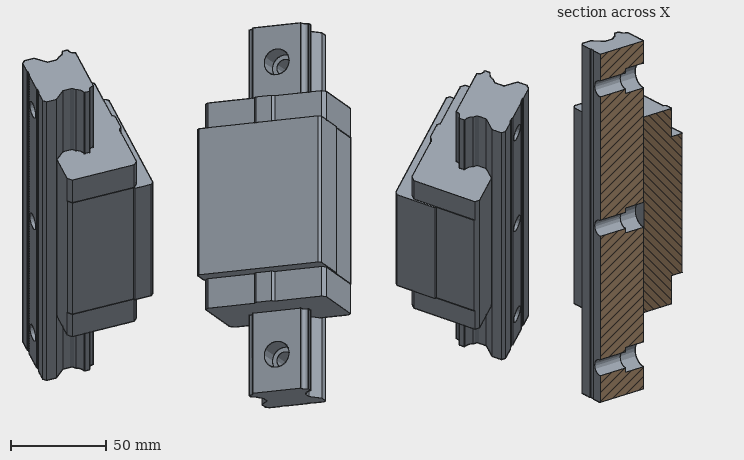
import cadquery as cq

RAIL_LENGTH = 200.0
RAIL_WIDTH = 34.0
RAIL_HEIGHT = 29.0
RAIL_FOOT_CHAMFER = 1.5
FOOT_TOP = 7.0
WAIST_HALF_WIDTH = 11.8
WAIST_BOTTOM = 12.5
WAIST_TOP = 17.2
WAIST_CURVE_WIDTH = 0.5
WAIST_CURVE_HEIGHT = 1.0
WAIST_FLARE = 1.2
LIP_BOTTOM = 23.0
LIP_TOP = 25.5
LIP_CHAMFER = 0.5
LOWER_RACE_MIDDLE = (14.5, 21.5)
UPPER_RACE_MIDDLE = (14.8, 26.5)
UPPER_RACE_TOP = (13.8, 28.5)
HEAD_TOP_HALF_WIDTH = 13.5

GROOVE_OFFSET = 7.2
GROOVE_MOUTH = 3.0
GROOVE_FLOOR = 2.0
GROOVE_DEPTH = 0.5

HOLE_PITCH = 80.0
HOLE_COUNT = 3
HOLE_DIAMETER = 9.0
COUNTERBORE_DIAMETER = 14.0
COUNTERBORE_DEPTH = 12.0

CARRIAGE_TOP = 55.0
CARRIAGE_BOTTOM = 7.5
BODY_WIDTH = 70.0
BODY_LENGTH = 80.0
BODY_TOP_CHAMFER = 1.5
BOTTOM_CHAMFER = 2.2
SIDE_STEP = 0.5
LEFT_STEP_HEIGHT = 32.0
RIGHT_STEP_HEIGHT = 44.5

CAP_WIDTH = 68.2
CAP_TOP = 46.5
CAP_TOP_CHAMFER = 2.0
CARRIAGE_LENGTH = 112.5
BUMP_HEIGHT = 1.5
BUMP_BASE_WIDTH = 11.5


def centred_prism(closed_outline, length):
    """Extrude a closed XY outline along Z, half the length to each side of Z = 0."""
    return closed_outline.extrude(length / 2, both=True)


def rail_blank():
    half = RAIL_WIDTH / 2
    outline = (
        cq.Workplane("XY")
        .moveTo(0, 0)
        .lineTo(half - RAIL_FOOT_CHAMFER, 0)
        .lineTo(half, RAIL_FOOT_CHAMFER)
        .lineTo(half, FOOT_TOP)
        .lineTo(WAIST_HALF_WIDTH, WAIST_BOTTOM)
        .lineTo(WAIST_HALF_WIDTH, WAIST_TOP)
        .tangentArcPoint((WAIST_CURVE_WIDTH, WAIST_CURVE_HEIGHT))
        .line(WAIST_FLARE, WAIST_FLARE)
        .threePointArc(LOWER_RACE_MIDDLE, (half - LIP_CHAMFER, LIP_BOTTOM - LIP_CHAMFER))
        .lineTo(half, LIP_BOTTOM)
        .lineTo(half, LIP_TOP)
        .lineTo(half - LIP_CHAMFER, LIP_TOP + LIP_CHAMFER)
        .threePointArc(UPPER_RACE_MIDDLE, UPPER_RACE_TOP)
        .lineTo(HEAD_TOP_HALF_WIDTH, RAIL_HEIGHT)
        .lineTo(0, RAIL_HEIGHT)
    )
    return centred_prism(outline.mirrorY(), RAIL_LENGTH)


def relief_groove(x):
    section = cq.Workplane("XY").polyline([
        (x - GROOVE_MOUTH / 2, 0),
        (x + GROOVE_MOUTH / 2, 0),
        (x + GROOVE_FLOOR / 2, GROOVE_DEPTH),
        (x - GROOVE_FLOOR / 2, GROOVE_DEPTH),
    ]).close()
    return centred_prism(section, RAIL_LENGTH)


def drill_mounting_holes(rail):
    return (
        rail.faces(">Y").workplane(origin=(0, RAIL_HEIGHT, 0))
        .rarray(2, HOLE_PITCH, 1, HOLE_COUNT)
        .cboreHole(HOLE_DIAMETER, COUNTERBORE_DIAMETER, COUNTERBORE_DEPTH)
    )


def make_rail():
    rail = rail_blank()
    for x in (-GROOVE_OFFSET, GROOVE_OFFSET):
        rail = rail.cut(relief_groove(x))
    return drill_mounting_holes(rail)


def carriage_body():
    half = BODY_WIDTH / 2
    lower_half = half - SIDE_STEP
    chamfer_top = CARRIAGE_BOTTOM + BOTTOM_CHAMFER
    outline = cq.Workplane("XY").polyline([
        (BOTTOM_CHAMFER - lower_half, CARRIAGE_BOTTOM),
        (lower_half - BOTTOM_CHAMFER, CARRIAGE_BOTTOM),
        (lower_half, chamfer_top),
        (lower_half, RIGHT_STEP_HEIGHT - SIDE_STEP),
        (half, RIGHT_STEP_HEIGHT),
        (half, CARRIAGE_TOP - BODY_TOP_CHAMFER),
        (half - BODY_TOP_CHAMFER, CARRIAGE_TOP),
        (BODY_TOP_CHAMFER - half, CARRIAGE_TOP),
        (-half, CARRIAGE_TOP - BODY_TOP_CHAMFER),
        (-half, LEFT_STEP_HEIGHT),
        (-lower_half, LEFT_STEP_HEIGHT - SIDE_STEP),
        (-lower_half, chamfer_top),
    ]).close()
    return centred_prism(outline, BODY_LENGTH)


def end_caps():
    """Both caps in one prism that runs through the body from end to end."""
    half = CAP_WIDTH / 2
    inset_from_body = BODY_WIDTH / 2 - SIDE_STEP - half
    left_chamfer = BOTTOM_CHAMFER - inset_from_body
    bump_half = BUMP_BASE_WIDTH / 2
    outline = cq.Workplane("XY").polyline([
        (left_chamfer - half, CARRIAGE_BOTTOM),
        (half - BOTTOM_CHAMFER, CARRIAGE_BOTTOM),
        (half, CARRIAGE_BOTTOM + BOTTOM_CHAMFER),
        (half, CAP_TOP - CAP_TOP_CHAMFER),
        (half - CAP_TOP_CHAMFER, CAP_TOP),
        (bump_half, CAP_TOP),
        (bump_half - BUMP_HEIGHT, CAP_TOP + BUMP_HEIGHT),
        (BUMP_HEIGHT - bump_half, CAP_TOP + BUMP_HEIGHT),
        (-bump_half, CAP_TOP),
        (CAP_TOP_CHAMFER - half, CAP_TOP),
        (-half, CAP_TOP - CAP_TOP_CHAMFER),
        (-half, CARRIAGE_BOTTOM + left_chamfer),
    ]).close()
    return centred_prism(outline, CARRIAGE_LENGTH)


def make_carriage():
    return carriage_body().union(end_caps()).cut(rail_blank())


rail = make_rail()
carriage = make_carriage()

result = cq.Compound.makeCompound([rail.val(), carriage.val()])